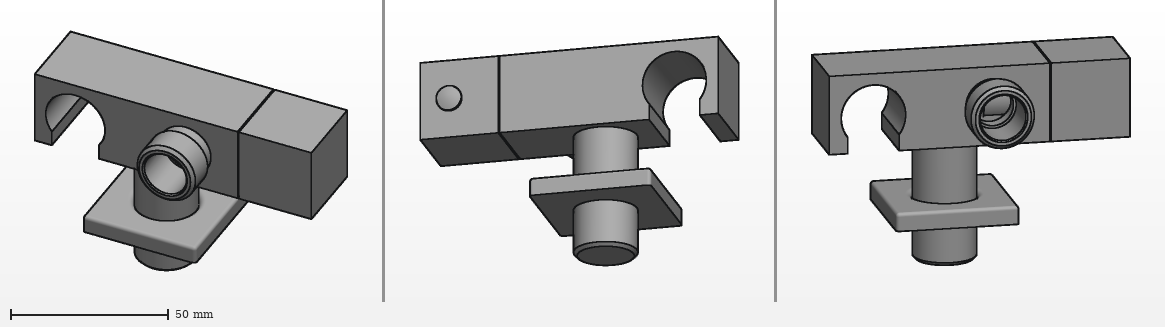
import cadquery as cq


TOTAL_LENGTH = 98.0
SECTION = 26.0
HALF_SECTION = SECTION / 2
KNOB_LENGTH = 25.7
KNOB_GAP = 0.5
HOUSING_LENGTH = TOTAL_LENGTH - KNOB_LENGTH - KNOB_GAP
HOLDER_X = 14.4
HOLDER_Z = -1.3
HOLDER_RADIUS = 10.5
HOLDER_MOUTH_WIDTH = 16.7

OUTLET_X = 53.4
OUTLET_RADIUS = 10.3
OUTLET_LENGTH = 15.0
OUTLET_NECK_RADIUS = 9.0
OUTLET_NECK_LENGTH = 5.0
OUTLET_BORE_RADIUS = 7.4
OUTLET_MOUTH_CHAMFER = 0.5
PORT_RADIUS = 6.6
PORT_DEPTH = 5.2
PIPE_CHAMFER = 1.2

INLET_X = 40.4
INLET_RADIUS = 10.3
INLET_LENGTH = 40.0

FLANGE_WIDTH = 40.0
FLANGE_THICKNESS = 6.0
FLANGE_DROP = 18.7
FLANGE_EDGE_RADIUS = 1.2
FLANGE_HOLE_ROUNDING = 2.2

CARTRIDGE_RADIUS = 9.0
CARTRIDGE_TIP_X = 51.4
COLLAR_RADIUS = 11.7

BUTTON_X = 88.4
BUTTON_RADIUS = 4.1
BUTTON_RIM_HEIGHT = 0.9
BUTTON_HEIGHT = 1.8


def bar(start_x, length):
    """Square bar along the long axis."""
    return cq.Workplane("YZ", origin=(start_x, 0, 0)).rect(SECTION, SECTION).extrude(length)


def cartridge_barrel():
    """Barrel from the cartridge tip to the end face of the housing."""
    return (
        cq.Workplane("YZ", origin=(CARTRIDGE_TIP_X, 0, 0))
        .circle(CARTRIDGE_RADIUS)
        .extrude(HOUSING_LENGTH - CARTRIDGE_TIP_X)
    )


def holder_cut():
    """Round seat through the housing, with a straight mouth that opens downward."""
    seat = (
        cq.Workplane("XZ", origin=(HOLDER_X, 0, HOLDER_Z))
        .circle(HOLDER_RADIUS)
        .extrude(HALF_SECTION, both=True)
    )
    mouth_height = HOLDER_Z + HALF_SECTION
    mouth = (
        cq.Workplane("XY", origin=(HOLDER_X, 0, -HALF_SECTION))
        .rect(HOLDER_MOUTH_WIDTH, SECTION)
        .extrude(mouth_height)
    )
    return seat.union(mouth)


def make_housing():
    port = (
        cq.Workplane("XZ", origin=(OUTLET_X, -HALF_SECTION, 0))
        .circle(PORT_RADIUS)
        .extrude(-PORT_DEPTH)
    )
    return bar(0, HOUSING_LENGTH).cut(holder_cut()).cut(port).cut(cartridge_barrel())


def make_knob():
    return bar(TOTAL_LENGTH - KNOB_LENGTH, KNOB_LENGTH)


def make_cartridge():
    collar = (
        cq.Workplane("YZ", origin=(HOUSING_LENGTH, 0, 0)).circle(COLLAR_RADIUS).extrude(KNOB_GAP)
    )
    return cartridge_barrel().union(collar)


def make_outlet():
    neck = (
        cq.Workplane("XZ", origin=(OUTLET_X, -HALF_SECTION, 0))
        .circle(OUTLET_NECK_RADIUS)
        .extrude(OUTLET_NECK_LENGTH)
    )
    head = (
        cq.Workplane("XZ", origin=(OUTLET_X, -HALF_SECTION - OUTLET_NECK_LENGTH, 0))
        .circle(OUTLET_RADIUS)
        .extrude(OUTLET_LENGTH - OUTLET_NECK_LENGTH)
        .faces("<Y").edges().chamfer(PIPE_CHAMFER)
    )
    bored = (
        neck.union(head)
        .faces("<Y").workplane(centerOption="CenterOfBoundBox")
        .hole(2 * OUTLET_BORE_RADIUS)
    )
    bore_mouth = cq.selectors.RadiusNthSelector(0)
    return bored.faces("<Y").edges(bore_mouth).chamfer(OUTLET_MOUTH_CHAMFER)


def make_inlet():
    return (
        cq.Workplane("XY", origin=(INLET_X, 0, -HALF_SECTION))
        .circle(INLET_RADIUS)
        .extrude(-INLET_LENGTH)
        .faces("<Z").edges().chamfer(PIPE_CHAMFER)
    )


def make_flange():
    top_z = -HALF_SECTION - FLANGE_DROP
    plate = (
        cq.Workplane("XY", origin=(INLET_X, 0, top_z))
        .rect(FLANGE_WIDTH, FLANGE_WIDTH)
        .extrude(-FLANGE_THICKNESS)
        .edges("|Z").fillet(FLANGE_EDGE_RADIUS)
        .faces(">Z").edges().fillet(FLANGE_EDGE_RADIUS)
    )
    pierced = plate.faces(">Z").workplane(centerOption="CenterOfBoundBox").hole(2 * INLET_RADIUS)
    return pierced.faces(">Z").edges("%CIRCLE").fillet(FLANGE_HOLE_ROUNDING)


def make_button():
    dome_height = BUTTON_HEIGHT - BUTTON_RIM_HEIGHT
    dome_radius = (BUTTON_RADIUS**2 + dome_height**2) / (2 * dome_height)
    dome = cq.Workplane("XY").sphere(dome_radius).translate(
        (BUTTON_X, HALF_SECTION + BUTTON_HEIGHT - dome_radius, 0)
    )
    blank = (
        cq.Workplane("XZ", origin=(BUTTON_X, HALF_SECTION, 0))
        .circle(BUTTON_RADIUS)
        .extrude(-BUTTON_HEIGHT)
    )
    return blank.intersect(dome)


housing = make_housing()
knob = make_knob()
cartridge = make_cartridge()
outlet = make_outlet()
inlet = make_inlet()
flange = make_flange()
button = make_button()

bodies = [housing, knob, cartridge, outlet, inlet, flange, button]
result = cq.Compound.makeCompound([body.solids().val() for body in bodies])